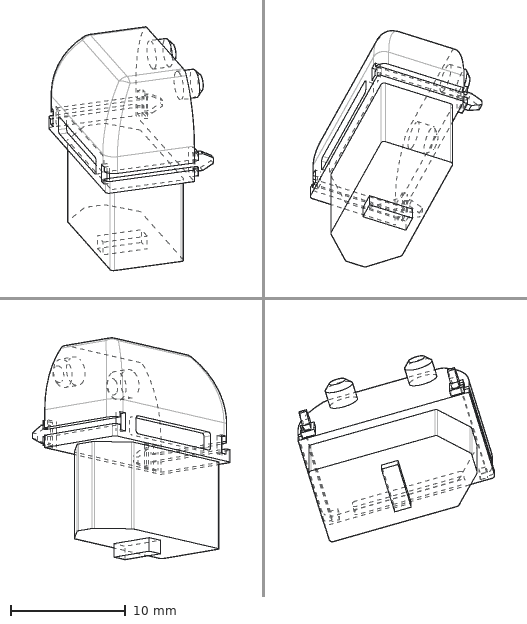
import cadquery as cq
import math


width = 15.5
depth = 8.1
hood_top = 9.5
curve_start = 3.36
curve_radius = 8.85
edge_round = 1.0

flange_height = 1.1
flange_corner_radius = 0.3
groove_top = 1.77
groove_bottom_x = 7.05

window_width = 9.95
window_height = 1.6
window_depth = 0.75
window_corner_radius = 0.3
feature_height = 1.43

clip_width = 0.65
clip_outer_x = groove_bottom_x
clip_center_x = clip_outer_x - clip_width / 2
clip_height = window_height
clip_taper_start = 1.0
clip_reach = 2.0
clip_tip_height = 0.5
clip_recess_depth = 0.5
pad_center_x = 6.75
pad_width = 1.22
pad_height = 2.2
pad_thickness = 0.5

post_spacing = 7.2
post_diameter = 2.5
post_height = 7.42
post_chamfer = 0.52
post_reach = clip_reach

plug_width = 2 * groove_bottom_x
plug_depth = 6.73
plug_length = 7.7
plug_chamfer = 2.45
plug_edge_radius = 0.3
plug_center_y = -depth / 2

tongue_width = 1.5
tongue_depth = 4.05
tongue_length = 1.2
tongue_center_y = -3.95


def arc_offset(height):
    """Inward shift of a curved wall at a height above the start of its curve."""
    return curve_radius - math.sqrt(curve_radius**2 - height**2)


def make_box(x_range, y_range, z_range):
    """Box spanning the given (low, high) limits."""
    size = [high - low for low, high in (x_range, y_range, z_range)]
    corner = cq.Vector(x_range[0], y_range[0], z_range[0])
    return cq.Workplane(obj=cq.Solid.makeBox(*size, corner))


def make_hood():
    """Domed hood: crossed front and side profiles with all exposed edges rounded."""
    rise = hood_top - curve_start
    top_shift = arc_offset(rise)
    mid_shift = arc_offset(rise / 2)
    mid_height = curve_start + rise / 2
    half = width / 2

    front_profile = (
        cq.Workplane("XZ")
        .moveTo(-half, flange_height)
        .lineTo(half, flange_height)
        .lineTo(half, curve_start)
        .threePointArc((half - mid_shift, mid_height), (half - top_shift, hood_top))
        .lineTo(-half + top_shift, hood_top)
        .threePointArc((-half + mid_shift, mid_height), (-half, curve_start))
        .close()
        .extrude(depth)
    )
    side_profile = (
        cq.Workplane("YZ")
        .moveTo(0, flange_height)
        .lineTo(-depth, flange_height)
        .lineTo(-depth, curve_start)
        .threePointArc((-depth + mid_shift, mid_height), (-depth + top_shift, hood_top))
        .lineTo(0, hood_top)
        .close()
        .extrude(half, both=True)
    )
    hood = front_profile.intersect(side_profile)
    front_corners = hood.edges("|Z and <Y")
    top_edges = hood.faces(">Z").edges("not >Y")
    return front_corners.add(top_edges).fillet(edge_round)


def make_flange():
    """Plate at the foot of the hood with small front corner radii."""
    flange = make_box((-width / 2, width / 2), (-depth, 0), (0, flange_height))
    return flange.edges("|Z and <Y").fillet(flange_corner_radius)


def make_clip_pad(side):
    """Raised pad behind a clip; side is -1 or 1."""
    return (
        cq.Workplane("XZ")
        .center(side * pad_center_x, feature_height)
        .rect(pad_width, pad_height)
        .extrude(-pad_thickness)
    )


def make_side_groove(side):
    """Cutter that opens one side between hood and flange, through the pad as well."""
    outer_x = side * width / 2
    inner_x = side * groove_bottom_x
    return make_box(
        sorted((inner_x, outer_x)),
        (-depth, pad_thickness),
        (flange_height, groove_top),
    )


def make_clip(side):
    """Flat clip with a tapered tip, standing out of the rear face."""
    half_height = clip_height / 2
    half_tip = clip_tip_height / 2
    return (
        cq.Workplane("YZ", origin=(side * clip_center_x, 0, feature_height))
        .polyline(
            [
                (0, -half_height),
                (clip_taper_start, -half_height),
                (clip_reach, -half_tip),
                (clip_reach, half_tip),
                (clip_taper_start, half_height),
                (0, half_height),
            ]
        )
        .close()
        .extrude(clip_width / 2, both=True)
    )


def make_clip_recess(side):
    """Cutter for the shallow slot in the front face in line with a clip."""
    return (
        cq.Workplane("XZ", origin=(side * clip_center_x, -depth, feature_height))
        .rect(clip_width, clip_height)
        .extrude(-clip_recess_depth)
    )


def make_window():
    """Cutter for the rounded window in the front face."""
    return (
        cq.Workplane("XZ", origin=(0, -depth, feature_height))
        .rect(window_width, window_height)
        .extrude(-window_depth)
        .edges("|Y")
        .fillet(window_corner_radius)
    )


def make_post(side):
    """Round locating post with a chamfered end on the rear face."""
    return (
        cq.Workplane("XZ", origin=(side * post_spacing / 2, 0, post_height))
        .circle(post_diameter / 2)
        .extrude(-post_reach)
        .faces(">Y")
        .chamfer(post_chamfer)
    )


def make_plug():
    """Plug body, chamfered along its left side as a polarising key."""
    plug = make_box(
        (-plug_width / 2, plug_width / 2),
        (plug_center_y - plug_depth / 2, plug_center_y + plug_depth / 2),
        (-plug_length, 0),
    )
    plug = plug.edges("|Z and <X").chamfer(plug_chamfer)
    return plug.edges("|Z").fillet(plug_edge_radius)


def make_tongue():
    """Short rectangular tongue under the plug."""
    return make_box(
        (-tongue_width / 2, tongue_width / 2),
        (tongue_center_y - tongue_depth / 2, tongue_center_y + tongue_depth / 2),
        (-plug_length - tongue_length, -plug_length),
    )


result = make_hood().union(make_flange()).union(make_plug()).union(make_tongue())
result = result.cut(make_window())
for side in (-1, 1):
    result = result.union(make_clip_pad(side))
    result = result.cut(make_side_groove(side))
    result = result.cut(make_clip_recess(side))
    result = result.union(make_clip(side))
    result = result.union(make_post(side))